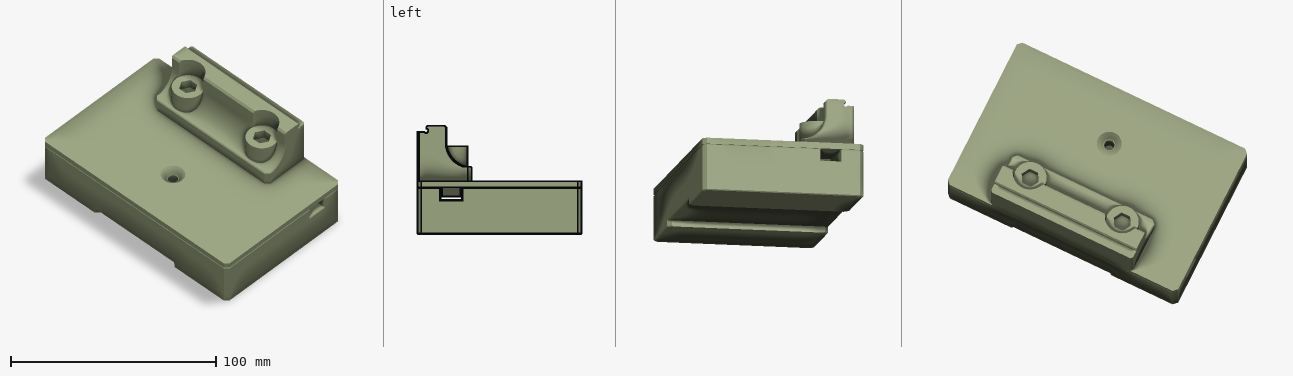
import cadquery as cq
import math

LENGTH = 125.0
DEPTH = 80.0
HEIGHT = 53.0
BASE_TOP = 26.0
LID_THICKNESS = 3.0
CORNER_CHAMFER = 2.0
EDGE_CHAMFER = 0.5
BODY_TOP = BASE_TOP - LID_THICKNESS
BACK = DEPTH / 2

CHANNEL_HEIGHT = 3.0
FOOT_LENGTH = 37.5

JAW_LENGTH = 77.0
JAW_DEPTH = 26.5
JAW_TOP_DEPTH = 14.2
JAW_FRONT = BACK - JAW_DEPTH
JAW_WALL = BACK - JAW_TOP_DEPTH
JAW_REAR_CHAMFER = 1.0
COVE_RADIUS = 12.0
COVE_CENTER_DROP = 8.1
COVE_CENTER_Z = HEIGHT - COVE_CENTER_DROP
LIP_Z = 33.0
COVE_END_Y = JAW_WALL - COVE_RADIUS + math.sqrt(COVE_RADIUS**2 - (COVE_CENTER_Z - LIP_Z) ** 2)
JAW_TOP_CHAMFER = 1.0
STEP_CHAMFER = 0.8
STEP_WIDTH = 4.2
STEP_DROP = 3.0
RELIEF_RADIUS = 1.0
RELIEF_DROP = 2.5

SCREW_SPACING = 50.0
SCREW_SETBACK = 16.5
SCREW_Y = BACK - SCREW_SETBACK
HEAD_DIAMETER = 16.0
HEAD_TOP = 43.0
POCKET_DIAMETER = 17.0
SOCKET_FLATS = 8.0
SOCKET_DEPTH = 5.0

COUNTERSINK_Y = -13.0
COUNTERSINK_DIAMETER = 12.0
TAPPED_DIAMETER = 5.0
TAPPED_DEPTH = 10.0

SLOT_WIDTH = 10.0
SLOT_BOTTOM = 17.0
TONGUE_WIDTH = 9.0
TONGUE_BOTTOM = 18.5


def block(length, depth, z_low, z_high):
    """Upright block centred on the origin in X and Y, with chamfered vertical edges."""
    return (
        cq.Workplane("XY", origin=(0, 0, z_low))
        .rect(length, depth)
        .extrude(z_high - z_low)
        .edges("|Z")
        .chamfer(CORNER_CHAMFER)
    )


def make_foot(side):
    """Foot beside the channel; its bottom edge stays sharp along the channel wall."""
    foot = block(FOOT_LENGTH, DEPTH, 0, CHANNEL_HEIGHT + EDGE_CHAMFER)
    channel_side = "<X" if side > 0 else ">X"
    foot = foot.faces("<Z").edges("not " + channel_side).chamfer(EDGE_CHAMFER)
    return foot.translate((side * (LENGTH - FOOT_LENGTH) / 2, 0, 0))


def make_body():
    """Base block on two feet, which leave a channel between them from front to back."""
    body = block(LENGTH, DEPTH, CHANNEL_HEIGHT, BODY_TOP)
    body = body.faces(">Z").edges().chamfer(EDGE_CHAMFER)
    body = body.faces("<Z").edges("<Y or >Y").chamfer(EDGE_CHAMFER)
    return body.union(make_foot(-1)).union(make_foot(1))


def make_slot():
    """Through slot under the lid, with both mouths chamfered at the sides and bottom."""
    slot_height = BODY_TOP - SLOT_BOTTOM
    slot = cq.Workplane("XY").box(LENGTH, SLOT_WIDTH, slot_height)
    slot = slot.translate((0, SCREW_Y, SLOT_BOTTOM + slot_height / 2))
    below_lid = cq.Workplane("XY").box(2 * LENGTH, DEPTH, BODY_TOP, centered=(True, True, False))
    for side in (-1, 1):
        flare = (
            cq.Workplane("YZ", origin=(side * LENGTH / 2, SCREW_Y, BODY_TOP))
            .rect(SLOT_WIDTH + 2 * EDGE_CHAMFER, 2 * (slot_height + EDGE_CHAMFER))
            .workplane(offset=-side * EDGE_CHAMFER)
            .rect(SLOT_WIDTH, 2 * slot_height)
            .loft()
        )
        slot = slot.union(flare.intersect(below_lid))
    return slot


def make_tongue():
    """Bar as long as the jaw, hanging from the lid into the slot."""
    tongue_height = BODY_TOP - TONGUE_BOTTOM
    return (
        cq.Workplane("XY", origin=(0, SCREW_Y, TONGUE_BOTTOM))
        .box(JAW_LENGTH, TONGUE_WIDTH, tongue_height, centered=(True, True, False))
    )


def jaw_plan():
    """Upright block that holds the chamfered corners of the jaw."""
    jaw_height = HEIGHT - BASE_TOP
    return (
        cq.Workplane("XY", origin=(0, BACK - JAW_DEPTH / 2, BASE_TOP))
        .box(JAW_LENGTH, JAW_DEPTH, jaw_height, centered=(True, True, False))
        .edges("|Z and <Y")
        .chamfer(CORNER_CHAMFER)
        .edges("|Z and >Y")
        .chamfer(JAW_REAR_CHAMFER)
    )


def make_jaw():
    """Jaw with a step at the back, a hollow cove in front and a low lip."""
    step_y = BACK - STEP_WIDTH
    profile = (
        cq.Workplane("YZ", origin=(-JAW_LENGTH / 2, 0, 0))
        .moveTo(BACK, BASE_TOP)
        .lineTo(BACK, HEIGHT - STEP_DROP)
        .lineTo(step_y, HEIGHT - STEP_DROP)
        .lineTo(step_y, HEIGHT - STEP_CHAMFER)
        .lineTo(step_y - STEP_CHAMFER, HEIGHT)
        .lineTo(JAW_WALL + JAW_TOP_CHAMFER, HEIGHT)
        .lineTo(JAW_WALL, HEIGHT - JAW_TOP_CHAMFER)
        .lineTo(JAW_WALL, COVE_CENTER_Z)
        .radiusArc((COVE_END_Y, LIP_Z), COVE_RADIUS)
        .lineTo(JAW_FRONT + EDGE_CHAMFER, LIP_Z)
        .lineTo(JAW_FRONT, LIP_Z - EDGE_CHAMFER)
        .lineTo(JAW_FRONT, BASE_TOP)
        .close()
    )
    jaw = profile.extrude(JAW_LENGTH)
    wall_and_cove = cq.selectors.BoxSelector(
        (-JAW_LENGTH, COVE_END_Y, LIP_Z),
        (JAW_LENGTH, JAW_WALL + EDGE_CHAMFER, HEIGHT - JAW_TOP_CHAMFER),
    )
    jaw = jaw.edges(wall_and_cove).edges("not |X").chamfer(EDGE_CHAMFER)
    return jaw.intersect(jaw_plan())


def make_relief():
    """Round relief groove in the inner corner of the step."""
    return (
        cq.Workplane("YZ", origin=(-JAW_LENGTH / 2, BACK - STEP_WIDTH, HEIGHT - RELIEF_DROP))
        .circle(RELIEF_RADIUS)
        .extrude(JAW_LENGTH)
    )


def screw_points(z):
    """Workplane at height z with a point on each screw axis."""
    return cq.Workplane("XY", origin=(0, SCREW_Y, z)).rarray(SCREW_SPACING, 1.2, 2, 1)


def make_screw_pockets():
    return screw_points(LIP_Z).circle(POCKET_DIAMETER / 2).extrude(HEIGHT - LIP_Z)


def make_screw_heads():
    heads = screw_points(LIP_Z).circle(HEAD_DIAMETER / 2).extrude(HEAD_TOP - LIP_Z)
    socket_corners = SOCKET_FLATS / math.cos(math.pi / 6)
    sockets = screw_points(HEAD_TOP).polygon(6, socket_corners).extrude(-SOCKET_DEPTH)
    return heads.cut(sockets)


def make_countersunk_hole():
    """Cone through the lid at 90 degrees, then a blind tapped hole in the body."""
    cone_end_radius = COUNTERSINK_DIAMETER / 2 - LID_THICKNESS
    cone = (
        cq.Workplane("XY", origin=(0, COUNTERSINK_Y, BASE_TOP))
        .circle(COUNTERSINK_DIAMETER / 2)
        .workplane(offset=-LID_THICKNESS)
        .circle(cone_end_radius)
        .loft()
    )
    tapped = (
        cq.Workplane("XY", origin=(0, COUNTERSINK_Y, BODY_TOP))
        .circle(TAPPED_DIAMETER / 2)
        .extrude(-TAPPED_DEPTH)
    )
    return cone.union(tapped)


body = make_body().cut(make_slot())
lid = block(LENGTH, DEPTH, BODY_TOP, BASE_TOP)
base = body.union(make_tongue()).union(lid).cut(make_countersunk_hole())
jaw = make_jaw().cut(make_relief()).cut(make_screw_pockets())
result = base.union(jaw).union(make_screw_heads())